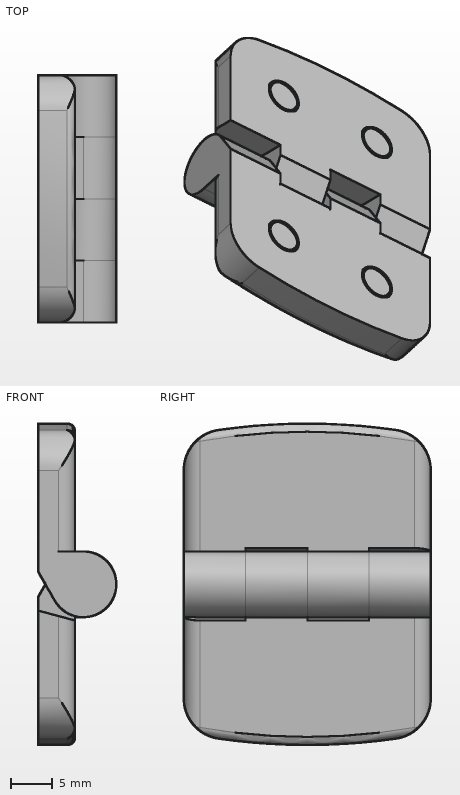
import math

import cadquery as cq


HINGE_WIDTH = 30.0
LEAF_HEIGHT = 19.5
LEAF_THICKNESS = 4.5
CROWN_RADIUS = 75.0
CORNER_RADIUS = 5.0
SIDE_ROUNDING = 2.0
CROWN_ROUNDING = 1.0

PIN_OFFSET = 5.5
KNUCKLE_RADIUS = 4.0
KNUCKLE_SLOPE = 60.0
KNUCKLES_PER_LEAF = 2
ROOT_CLEARANCE = 0.5
ROOT_SLOPE = 15.0

SCREW_SPACING = 14.0
SCREW_HEIGHT = 11.5
SCREW_RADIUS = 2.25
SCREW_CHAMFER = 0.25
SCREW_CHAMFER_ANGLE = 45.0

HALF_WIDTH = HINGE_WIDTH / 2
KNUCKLE_WIDTH = HINGE_WIDTH / (2 * KNUCKLES_PER_LEAF)
KNUCKLE_STARTS = [-HALF_WIDTH + 2 * i * KNUCKLE_WIDTH for i in range(KNUCKLES_PER_LEAF)]
SLOT_STARTS = [start + KNUCKLE_WIDTH for start in KNUCKLE_STARTS]


def extrude_along_y(profile, start):
    """Extrude an XZ profile over one knuckle width, starting at the given Y."""
    return profile.extrude(-KNUCKLE_WIDTH).translate((0, start, 0))


def leaf_outline():
    """YZ outline of a leaf with a bowed end and sharp corners."""
    shoulder_drop = CROWN_RADIUS - math.sqrt(CROWN_RADIUS**2 - HALF_WIDTH**2)
    shoulder_height = LEAF_HEIGHT - shoulder_drop
    return (
        cq.Workplane("YZ")
        .moveTo(-HALF_WIDTH, 0)
        .lineTo(HALF_WIDTH, 0)
        .lineTo(HALF_WIDTH, shoulder_height)
        .threePointArc((0, LEAF_HEIGHT), (-HALF_WIDTH, shoulder_height))
        .close()
    )


def leaf_plate():
    """Plate with rounded outer edges, its corners cut straight through to a radius."""
    plate = leaf_outline().extrude(LEAF_THICKNESS)
    plate = plate.faces(">X").edges("|Z").fillet(SIDE_ROUNDING)
    plate = plate.faces(">X").edges(">Z").fillet(CROWN_ROUNDING)
    corner_trim = leaf_outline().extrude(LEAF_THICKNESS)
    corner_trim = corner_trim.edges("|X and (not <Z)").fillet(CORNER_RADIUS)
    return plate.intersect(corner_trim)


def slot_void(start):
    """Space below the slanted slot floor, where the mating knuckle turns."""
    slope = math.radians(ROOT_SLOPE)
    clear_radius = KNUCKLE_RADIUS + ROOT_CLEARANCE
    floor_at_back = clear_radius / math.cos(slope) - PIN_OFFSET * math.tan(slope)
    floor_at_front = floor_at_back + LEAF_THICKNESS * math.tan(slope)
    profile = cq.Workplane("XZ").polyline(
        [(0, 0), (LEAF_THICKNESS, 0), (LEAF_THICKNESS, floor_at_front), (0, floor_at_back)]
    ).close()
    return extrude_along_y(profile, start)


def knuckle_space(start):
    """Plate material that a knuckle replaces."""
    profile = cq.Workplane("XZ").rect(LEAF_THICKNESS, KNUCKLE_RADIUS, centered=False)
    return extrude_along_y(profile, start)


def knuckle(start):
    """Round knuckle joined to the mounting face by a tangent flank and a flat top."""
    slope = math.radians(KNUCKLE_SLOPE)
    tangent_x = PIN_OFFSET - KNUCKLE_RADIUS * math.sin(slope)
    tangent_z = -KNUCKLE_RADIUS * math.cos(slope)
    heel_z = tangent_z + tangent_x * math.tan(slope)
    profile = (
        cq.Workplane("XZ")
        .moveTo(0, heel_z)
        .lineTo(tangent_x, tangent_z)
        .threePointArc((PIN_OFFSET + KNUCKLE_RADIUS, 0), (PIN_OFFSET, KNUCKLE_RADIUS))
        .lineTo(0, KNUCKLE_RADIUS)
        .close()
    )
    return extrude_along_y(profile, start)


def screw_gap(y):
    """Triangular ring groove left around the chamfered end of a flush screw."""
    face = cq.Workplane("YZ").center(y, SCREW_HEIGHT)
    hole = face.circle(SCREW_RADIUS).extrude(SCREW_CHAMFER)
    screw_end = face.circle(SCREW_RADIUS - SCREW_CHAMFER).extrude(SCREW_CHAMFER, taper=-SCREW_CHAMFER_ANGLE)
    return hole.cut(screw_end)


def hinge_leaf():
    leaf = leaf_plate()
    for start in SLOT_STARTS:
        leaf = leaf.cut(slot_void(start))
    for start in KNUCKLE_STARTS:
        leaf = leaf.cut(knuckle_space(start)).union(knuckle(start))
    for y in (-SCREW_SPACING / 2, SCREW_SPACING / 2):
        leaf = leaf.cut(screw_gap(y))
    return leaf


upper_leaf = hinge_leaf()
lower_leaf = upper_leaf.rotate((0, 0, 0), (1, 0, 0), 180)

result = upper_leaf.union(lower_leaf)